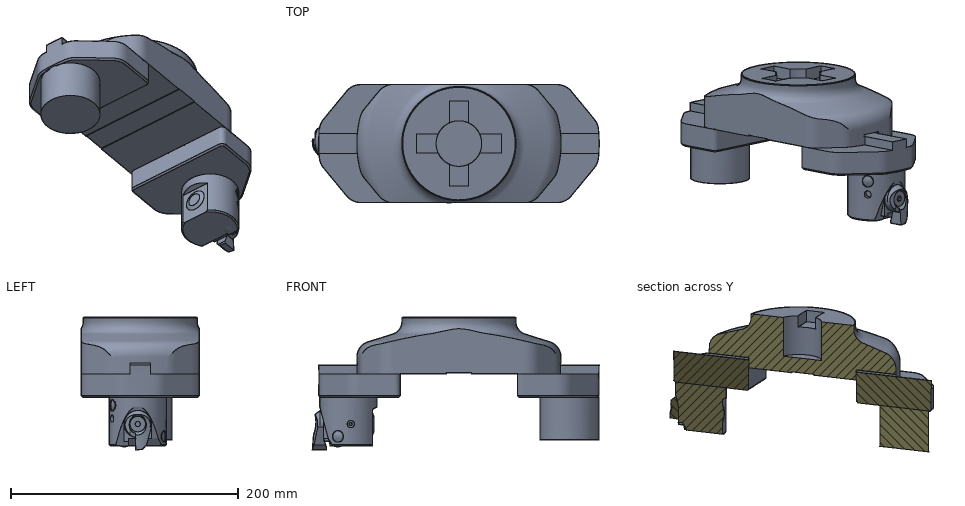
import cadquery as cq
import math


body_width = 104.0
diagonal_angle = 50.5
plan_corner_radius = 16.5

bridge_height = 50.0
neck_radius = 50.2
neck_bottom_z = 46.5
neck_chamfer = 0.8
cone_top_radius, cone_top_z = 58.0, 35.0
cone_bottom_radius, cone_bottom_z = 80.5, 28.0
bridge_end_radius = 89.8
bridge_side_top_z = 14.5
bridge_diagonal_start = 65.3
bore_diameter = 40.0
bore_depth = 35.3
cross_length = 74.6
cross_width = 16.6
cross_depth = 10.3
rib_slot_height = 9.3
belly_recess_width = 22.0
belly_recess_depth = 0.8

slide_thickness = 20.7
slide_end_radius = 123.3
slide_diagonal_start = 93.8
slide_inner_x = 51.5
slide_inner_corner_radius = 4.8
slide_bottom_chamfer = 1.5
rib_width = 17.7
rib_height = 7.5

tool_offset_x = 97.0
tool_offset_y = 2.15
counterweight_diameter = 52.0
counterweight_bottom_z = -58.0
head_diameter = 50.5
head_bottom_z = -63.3
head_bottom_chamfer = 1.3
head_x, head_y = -tool_offset_x, tool_offset_y
head_radius = head_diameter / 2
clamp_z = -44.1

seat_angle = 15.0
seat_top_x, seat_top_z = -121.3, -32.5
pad_face_x = -118.8
pad_width = 24.5
pad_bottom_z = -59.3
relief_top_z = -57.0
relief_angle = 32.0
relief_side_y = 10.3

dial_flat_x = -76.0
dial_flat_top_z = -31.3
dial_diameter = 19.7
dial_face_diameter = 12.0
dial_height = 1.5

plug_diameter = 10.0
lower_plug_angle, lower_plug_z = 248.0, -55.0
upper_plug_angle, upper_plug_z = 116.0, -27.7
plug_recess = 1.3
plug_cone_height = 1.3
bottom_plug_diameter = 8.5
bottom_plug_x, bottom_plug_y = -106.5, 14.0
bottom_plug_height = 1.0
set_screw_hole_diameter = 6.3
set_screw_angle = 275.0
set_screw_recess = 1.0
set_screw_hex = 2.8
set_screw_hex_depth = 2.5
side_hole_diameter = 6.3
side_hole_angle, side_hole_z = 116.0, -39.3
side_hole_depth = 5.0

insert_diameter = 24.0
insert_face_diameter = 20.5
insert_bevel_back_x, insert_bevel_front_x = -121.8, -126.5
countersink_depth = 5.0
insert_crown_radius = 22.7
insert_crown_tilt = 4.5
tip_x, tip_z = -128.9, -67.0
tip_edge_y = 4.0
tip_nose_y, tip_nose_z = -2.0, -66.3
tip_corner_y, tip_corner_z = -5.5, -62.5
bar_top_z = -46.7
tip_back_x = -116.3
tip_back_z = -64.5

screw_head_diameter = 13.5
screw_shank_diameter = 8.0
screw_face_x = -125.0
screw_end_x = -106.0
screw_hex = 5.0
screw_hex_depth = 2.5

clear = 151.3


def seat_x(z):
    """X of the tilted seat plane at height z."""
    return seat_top_x + (seat_top_z - z) * math.tan(math.radians(seat_angle))


def centred_box(x0, x1, width, z0, z1, y=0.0):
    """Box between x0 and x1 and between z0 and z1, centred on y."""
    return cq.Workplane("XY").box(x1 - x0, width, z1 - z0).translate(((x0 + x1) / 2, y, (z0 + z1) / 2))


def end_plan(diagonal_start, end_radius, bottom_z, top_z):
    """Prism with straight sides, diagonal flats and arc ends, rounded where they meet."""
    half_width = body_width / 2
    apex = diagonal_start + half_width / math.tan(math.radians(diagonal_angle))
    height = top_z - bottom_z
    prism = (
        cq.Workplane("XY", origin=(0, 0, bottom_z))
        .polyline([
            (apex, 0), (diagonal_start, half_width), (-diagonal_start, half_width),
            (-apex, 0), (-diagonal_start, -half_width), (diagonal_start, -half_width),
        ])
        .close()
        .extrude(height)
    )
    ends = cq.Workplane("XY", origin=(0, 0, bottom_z)).circle(end_radius).extrude(height)
    ends = ends.rotate((0, 0, 0), (0, 0, 1), 90)
    return prism.intersect(ends).edges("|Z").fillet(plan_corner_radius)


def make_bridge():
    """Turned cap trimmed to the shared plan shape."""
    turned = (
        cq.Workplane("XZ")
        .moveTo(0, 0)
        .lineTo(bridge_end_radius, 0)
        .lineTo(bridge_end_radius, bridge_side_top_z)
        .tangentArcPoint((cone_bottom_radius, cone_bottom_z), relative=False)
        .lineTo(cone_top_radius, cone_top_z)
        .tangentArcPoint((neck_radius, neck_bottom_z), relative=False)
        .lineTo(neck_radius, bridge_height - neck_chamfer)
        .lineTo(neck_radius - neck_chamfer, bridge_height)
        .lineTo(0, bridge_height)
        .close()
        .revolve(360, (0, 0, 0), (0, 1, 0))
    )
    bridge = end_plan(bridge_diagonal_start, bridge_end_radius, 0, bridge_height).intersect(turned)

    top = cq.Workplane("XY", origin=(0, 0, bridge_height))
    bridge = bridge.cut(top.circle(bore_diameter / 2).extrude(-bore_depth))
    bridge = bridge.cut(top.rect(cross_length, cross_width).extrude(-cross_depth))
    bridge = bridge.cut(top.rect(cross_width, cross_length).extrude(-cross_depth))

    bridge = bridge.cut(centred_box(slide_inner_x, clear, rib_width, 0, rib_slot_height))
    bridge = bridge.cut(centred_box(-clear, -slide_inner_x, rib_width, 0, rib_slot_height))
    half_recess = belly_recess_width / 2
    return bridge.cut(centred_box(-half_recess, half_recess, body_width, 0, belly_recess_depth))


def make_slide():
    """Slide on the +X side, with its guide rib on top."""
    plate = end_plan(slide_diagonal_start, slide_end_radius, -slide_thickness, 0)
    plate = plate.intersect(centred_box(slide_inner_x, clear, body_width, -slide_thickness, 0))
    plate = plate.edges("|Z and <X").fillet(slide_inner_corner_radius)
    plate = plate.faces("<Z").chamfer(slide_bottom_chamfer)
    rib = end_plan(slide_diagonal_start, slide_end_radius, 0, rib_height)
    return plate.union(rib.intersect(centred_box(slide_inner_x, clear, rib_width, 0, rib_height)))


def make_counterweight():
    return (
        cq.Workplane("XY", origin=(tool_offset_x, -tool_offset_y, -slide_thickness))
        .circle(counterweight_diameter / 2)
        .extrude(counterweight_bottom_z + slide_thickness)
    )


def head_side_plane(angle, z, distance):
    """Workplane facing outward from the head axis."""
    turn = math.radians(angle)
    outward = (math.cos(turn), math.sin(turn), 0)
    origin = (head_x + distance * outward[0], head_y + distance * outward[1], z)
    return cq.Workplane(cq.Plane(origin=origin, xDir=(-outward[1], outward[0], 0), normal=outward))


def cut_insert_seat(head):
    """Tilted flat with a raised pad, relieved below the cutting tip."""
    flat_cut = (
        cq.Workplane("XZ", origin=(0, clear / 2, 0))
        .polyline([(seat_x(0), 0), (seat_x(-clear), -clear), (-clear, -clear), (-clear, 0)])
        .close()
        .extrude(clear)
    )
    pad = centred_box(pad_face_x, head_x, pad_width, pad_bottom_z, seat_top_z, head_y).intersect(flat_cut)
    relief_depth = relief_top_z - head_bottom_z
    relief_bottom_x = seat_x(relief_top_z) + relief_depth * math.tan(math.radians(relief_angle))
    relief = (
        cq.Workplane("XZ", origin=(0, relief_side_y, 0))
        .polyline([
            (seat_x(relief_top_z), relief_top_z), (relief_bottom_x, head_bottom_z),
            (-clear, head_bottom_z), (-clear, relief_top_z),
        ])
        .close()
        .extrude(clear)
    )
    return head.cut(flat_cut).union(pad).cut(relief)


def add_dial(head):
    """Flat with a sloped top edge, carrying a low tapered disc."""
    flat_depth = head_x + head_radius - dial_flat_x
    flat_cut = (
        cq.Workplane("XZ", origin=(0, clear / 2, 0))
        .polyline([
            (dial_flat_x, dial_flat_top_z), (dial_flat_x + flat_depth, dial_flat_top_z + flat_depth / 2),
            (0, dial_flat_top_z), (0, -clear), (dial_flat_x, -clear),
        ])
        .close()
        .extrude(clear)
    )
    dial = (
        cq.Workplane("YZ", origin=(dial_flat_x, head_y, clamp_z))
        .circle(dial_diameter / 2)
        .workplane(offset=dial_height)
        .circle(dial_face_diameter / 2)
        .loft()
    )
    return head.cut(flat_cut).union(dial)


def add_plugs(head):
    """Cone-ended plugs in the side and in the bottom."""
    for angle, z in ((lower_plug_angle, lower_plug_z), (upper_plug_angle, upper_plug_z)):
        recess = head_side_plane(angle, z, head_radius - plug_recess)
        cone = cq.Solid.makeCone(
            plug_diameter / 2, 0, plug_cone_height, recess.plane.origin, recess.plane.zDir
        )
        head = head.cut(recess.circle(plug_diameter / 2).extrude(head_radius / 2))
        head = head.union(cq.Workplane(cone))
    bottom_cone = cq.Solid.makeCone(
        bottom_plug_diameter / 2, 0, bottom_plug_height,
        cq.Vector(bottom_plug_x, bottom_plug_y, head_bottom_z), cq.Vector(0, 0, -1),
    )
    return head.union(cq.Workplane(bottom_cone))


def cut_side_holes(head):
    """Set screw recess with its hex socket, and a blind hole on the +Y side."""
    screw_face = head_side_plane(set_screw_angle, clamp_z, head_radius - set_screw_recess)
    head = head.cut(screw_face.circle(set_screw_hole_diameter / 2).extrude(head_radius / 2))
    head = head.cut(screw_face.polygon(6, set_screw_hex).extrude(-set_screw_hex_depth))
    hole = head_side_plane(side_hole_angle, side_hole_z, head_radius - side_hole_depth)
    return head.cut(hole.circle(side_hole_diameter / 2).extrude(head_radius / 2))


def screw_blank():
    """Countersunk head and shank along X, without the socket."""
    screw_head_radius = screw_head_diameter / 2
    shank_radius = screw_shank_diameter / 2
    cone_end_x = screw_face_x + screw_head_radius - shank_radius
    return (
        cq.Workplane("XY", origin=(0, head_y, clamp_z))
        .polyline([
            (screw_face_x, 0), (screw_face_x, screw_head_radius), (cone_end_x, shank_radius),
            (screw_end_x, shank_radius), (screw_end_x, 0),
        ])
        .close()
        .revolve(360, (0, 0, 0), (1, 0, 0))
    )


def make_screw():
    socket = cq.Workplane("YZ", origin=(screw_face_x, head_y, clamp_z)).polygon(6, screw_hex)
    return screw_blank().cut(socket.extrude(screw_hex_depth))


def make_head():
    head = (
        cq.Workplane("XY", origin=(head_x, head_y, -slide_thickness))
        .circle(head_radius)
        .extrude(head_bottom_z + slide_thickness)
        .faces("<Z")
        .chamfer(head_bottom_chamfer)
    )
    head = cut_insert_seat(head)
    head = add_dial(head)
    head = add_plugs(head)
    head = cut_side_holes(head)
    return head.cut(screw_blank())


def make_insert():
    """Round insert with one cutting bar, crowned outside and seated on flat and pad."""
    insert_radius = insert_diameter / 2
    disc_plane = cq.Workplane("YZ", origin=(insert_bevel_back_x, head_y, clamp_z))
    disc = disc_plane.circle(insert_radius).extrude(tip_back_x - insert_bevel_back_x)
    bevel_drop = insert_radius - insert_face_diameter / 2
    bevel = (
        disc_plane.circle(insert_radius)
        .workplane(offset=insert_bevel_front_x - insert_bevel_back_x)
        .center(0, -bevel_drop)
        .circle(insert_face_diameter / 2)
        .loft()
    )
    bar = (
        cq.Workplane("YZ", origin=(tip_back_x, 0, 0))
        .polyline([
            (tip_edge_y, clamp_z), (tip_edge_y, tip_z), (tip_nose_y, tip_nose_z),
            (tip_corner_y, tip_corner_z), (head_y - insert_radius, bar_top_z),
        ])
        .close()
        .extrude(2 * (tip_x - tip_back_x))
    )
    heel = (
        cq.Workplane("XZ", origin=(0, clear / 2, 0))
        .polyline([
            (seat_x(0), 0),
            (pad_face_x, seat_top_z - (pad_face_x - seat_top_x) / math.tan(math.radians(seat_angle))),
            (pad_face_x, relief_top_z), (tip_back_x, tip_back_z), (tip_back_x, -clear),
            (-clear, -clear), (-clear, 0),
        ])
        .close()
        .extrude(clear)
    )
    crown = (
        cq.Workplane("XY", origin=(tip_x + insert_crown_radius, head_y, -clear / 2))
        .circle(insert_crown_radius)
        .extrude(clear)
        .rotate((tip_x, head_y, tip_z), (tip_x, head_y + 2.5, tip_z), insert_crown_tilt)
    )
    countersink = (
        cq.Workplane("YZ", origin=(screw_face_x, head_y, clamp_z))
        .circle(screw_head_diameter / 2)
        .workplane(offset=-countersink_depth)
        .circle(screw_head_diameter / 2 + countersink_depth)
        .loft()
    )
    blank = disc.union(bevel).union(bar)
    return blank.intersect(heel).intersect(crown).cut(countersink).cut(screw_blank())


bridge = make_bridge()
slides = [make_slide().rotate((0, 0, 0), (0, 0, 1), turn) for turn in (0, 180)]
counterweight = make_counterweight()
head = make_head()
insert = make_insert()
screw = make_screw()

result = cq.Compound.makeCompound([
    bridge.solids().val(),
    *[slide.solids().val() for slide in slides],
    counterweight.solids().val(),
    head.solids().val(),
    insert.solids().val(),
    screw.solids().val(),
])